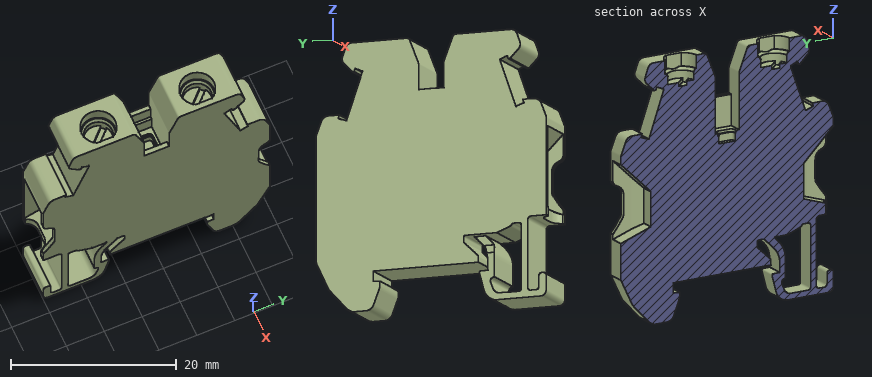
import cadquery as cq
import math

width = 6.15
height = 33.25
half_length = 14.945
side_x = width / 2

slot_half = 1.63
underside_z = 9.98
clip_floor_z = 0.83
web_outer = 12.55
web_inner = 11.67
arm_outer = 8.2
arm_inner = 7.35
arm_base_z = 4.22
recess_z = 8.28
overlap = 0.33


def rounded_outline(corners):
    """Closed YZ wire through (y, z, radius) corners, each rounded by a tangent arc."""
    stretches = []
    for i, (y, z, radius) in enumerate(corners):
        corner = cq.Vector(y, z)
        before = cq.Vector(*corners[i - 1][:2]) - corner
        after = cq.Vector(*corners[(i + 1) % len(corners)][:2]) - corner
        if radius == 0:
            stretches.append((corner,))
            continue
        half_angle = before.getAngle(after) / 2
        setback = radius / math.tan(half_angle)
        bisector = (before.normalized() + after.normalized()).normalized()
        start = corner + before.normalized() * setback
        middle = corner + bisector * (radius / math.sin(half_angle) - radius)
        end = corner + after.normalized() * setback
        stretches.append((start, middle, end))

    sketch = cq.Workplane("YZ").moveTo(*stretches[0][-1].toTuple()[:2])
    for stretch in stretches[1:] + stretches[:1]:
        sketch = sketch.lineTo(*stretch[0].toTuple()[:2])
        if len(stretch) == 3:
            sketch = sketch.threePointArc(*[p.toTuple()[:2] for p in stretch[1:]])
    return sketch.close()


def plate(corners, x_min, x_max):
    """Slab of the rounded outline between two X positions."""
    return rounded_outline(corners).extrude(x_max - x_min).translate((x_min, 0, 0))


def mirrored(corners):
    """The same corners on the opposite Y side, in reverse order."""
    return [(-y, z, radius) for y, z, radius in reversed(corners)]


upper_half = [
    (slot_half, 26.75, 0),
    (slot_half, 30.02, 0.65),
    (2.9, height, 0.45),
    (10.95, height, 0.85),
    (11.7, 31.1, 0.85),
    (10.25, 29.65, 0),
    (10.0, 29.65, 0),
    (9.85, 30.02, 0),
    (8.9, 29.63, 0),
    (11.0, 23.67, 0),
    (12.05, 24.05, 0),
    (11.9, 24.47, 0),
    (14.03, 24.47, 1.03),
    (half_length, 22.1, 0.9),
]

fixed_foot = [
    (half_length, 6.42, 0),
    (13.3, 2.95, 0),
    (10.57, 0, 1.53),
    (7.7, 0, 1.05),
    (6.65, 2.75, 1.33),
    (6.65, 3.52, 0),
    (7.5, 3.6, 0),
    (7.5, 4.82, 0),
    (-6.15, 4.82, 0),
    (-6.15, 5.6, 0.25),
    (-4.22, 7.45, 0.15),
    (-4.22, recess_z, 0.25),
]

sprung_foot = [
    (-8.5, recess_z, 0),
    (-10.3, 8.95, 0.5),
    (-10.6, 9.28, 0.25),
    (-web_inner, 9.28, 0.3),
    (-web_inner, clip_floor_z, 0.3),
    (-8.25, clip_floor_z, 0.95),
    (-7.58, 2.63, 0.4),
    (-arm_outer, 2.85, 0),
    (-arm_outer, arm_base_z, 0),
    (-arm_inner, arm_base_z, 0),
    (-arm_inner, 3.72, 0),
    (-6.2, 3.72, 0.23),
    (-7.18, 0, 1.8),
    (-half_length, 0, 0.73),
    (-half_length, 2.9, 0.43),
    (-13.95, 2.9, 0.43),
    (-13.95, clip_floor_z, 0.33),
    (-web_outer, clip_floor_z, 0.35),
    (-web_outer, underside_z, 0.45),
    (-half_length, underside_z, 0),
]

housing_outline = upper_half + fixed_foot + sprung_foot + mirrored(upper_half)
result = plate(housing_outline, -side_x, side_x)

arm_top_z = recess_z + overlap
outer_bend_z = 6.68
inner_bend_z = 6.1
arm_outline = [
    (-arm_inner, arm_base_z - overlap, 0),
    (-arm_outer, arm_base_z - overlap, 0),
    (-arm_outer, outer_bend_z, 3.32),
    (-arm_outer + arm_top_z - outer_bend_z, arm_top_z, 0),
    (-arm_inner + arm_top_z - inner_bend_z, arm_top_z, 0),
    (-arm_inner, inner_bend_z, 2.93),
]
arm_step_z = 5.9
arm_step = 1.2
arm_side = (
    cq.Workplane("XZ")
    .polyline([
        (-side_x, 0),
        (side_x, 0),
        (side_x, arm_top_z),
        (-side_x + arm_step, arm_top_z),
        (-side_x + arm_step, arm_step_z + arm_step),
        (-side_x, arm_step_z),
    ])
    .close()
    .extrude(half_length)
)
result = result.union(plate(arm_outline, -side_x, side_x).intersect(arm_side))

entry_left = -2.6
entry_right = 2.5
entry_back = 10.75
taper_start = 12.3
mouth = half_length + overlap
funnel_height = [
    (-half_length, 21.05, 0),
    (-entry_back, 16.95, 0),
    (-entry_back, 12.5, 0),
    (-half_length, 11.07, 0),
]
funnel_plan = (
    cq.Workplane("XY")
    .polyline([
        (entry_left, -mouth),
        (entry_right, -mouth),
        (entry_right, -taper_start),
        (2.23, -entry_back),
        (-2.0, -entry_back),
        (entry_left, -taper_start),
    ])
    .close()
    .extrude(height)
)
funnel = plate(funnel_height, entry_left, entry_right).intersect(funnel_plan)

notch_back = 13.43
notch_outline = [
    (-mouth, 18.95, 0),
    (-half_length, 18.95, 0),
    (-half_length, 17.92, 0.85),
    (-notch_back, 17.4, 1.33),
    (-notch_back, 13.8, 1),
    (-14.3, 12.5, 0),
    (-mouth, 11.27, 0),
]
wire_entry = funnel.union(plate(notch_outline, entry_right - overlap, side_x))
result = result.cut(wire_entry).cut(wire_entry.mirror("XZ"))

scallop_half = 2.35
scallop_flat = 0.7
scallop_back = half_length - 1.05
scallop_bulge_x = 1.75
scallop_bulge_y = 14.15
scallop_height = 1.83
scallop = (
    cq.Workplane("XY")
    .workplane(offset=underside_z - overlap)
    .moveTo(-scallop_half, -half_length)
    .threePointArc((-scallop_bulge_x, -scallop_bulge_y), (-scallop_flat, -scallop_back))
    .lineTo(scallop_flat, -scallop_back)
    .threePointArc((scallop_bulge_x, -scallop_bulge_y), (scallop_half, -half_length))
    .close()
    .extrude(scallop_height)
)
result = result.cut(scallop)

screw_x = 0.4
screw_y = 6.52
bore_radius = 2.2
bore_flat_x = 2.33
seat_radius = 2.05
head_radius = 1.8
ledge_z = height - 1.7
head_seat_z = ledge_z - 0.4
head_z = head_seat_z - 1.0
drive_width = 0.73
drive_depth = 0.5


def screw_bore(radius, bottom, top):
    return cq.Workplane("XY").workplane(offset=bottom).circle(radius).extrude(top - bottom)


def screw_well():
    """Well on the screw axis, at its final height."""
    flat = cq.Workplane("XY").box(4 * bore_radius, 4 * bore_radius, height, centered=(True, True, False))
    flat = flat.translate((bore_flat_x - screw_x - 2 * bore_radius, 0, 0))
    drive = (
        cq.Workplane("XY")
        .workplane(offset=head_z - drive_depth)
        .transformed(rotate=(0, 0, -45))
        .rect(4 * head_radius, drive_width)
        .extrude(drive_depth)
        .intersect(screw_bore(head_radius, 0, height))
    )
    well = screw_bore(bore_radius, ledge_z, height).intersect(flat)
    seat = (
        cq.Workplane("XY")
        .workplane(offset=head_seat_z)
        .circle(head_radius)
        .workplane(offset=ledge_z - head_seat_z)
        .circle(seat_radius)
        .loft()
    )
    well = well.union(seat.intersect(flat))
    well = well.union(screw_bore(head_radius, head_z, head_seat_z))
    return well.union(drive)


for side in (-1, 1):
    result = result.cut(screw_well().translate((screw_x, side * screw_y, 0)))

slot_floor_z = 26.75
step_z = slot_floor_z - 2.0
pocket_floor_z = slot_floor_z - 4.0
pocket_left = -2.45
pocket_step = -2.13
pocket_right = 2.43
square_hole_y = 0.03


def slot_pocket(x_min, x_max, bottom):
    return (
        cq.Workplane("XY")
        .box(x_max - x_min, 2 * slot_half, slot_floor_z - bottom, centered=(False, True, False))
        .translate((x_min, 0, bottom))
    )


def square_hole(length_x, length_y, corner_radius, depth):
    return (
        cq.Workplane("XY")
        .box(length_x, length_y, depth, centered=(True, True, False))
        .edges("|Z")
        .fillet(corner_radius)
        .translate((0, square_hole_y, pocket_floor_z - depth))
    )


result = result.cut(slot_pocket(pocket_left, pocket_right, step_z))
result = result.cut(slot_pocket(pocket_step, pocket_right, pocket_floor_z))
result = result.cut(square_hole(2.85, 2.45, 0.5, 0.33))
result = result.cut(square_hole(2.4, 2.2, 0.33, 1.33))